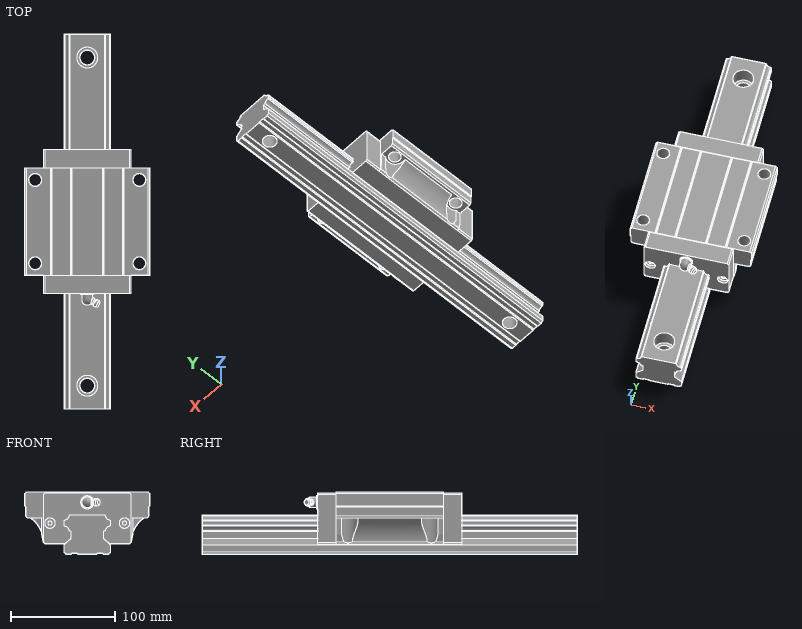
import cadquery as cq
import math


rail_length = 360.0
rail_width = 45.0
rail_height = 38.0
rail_half = rail_width / 2
rail_top_half = 16.7
rail_shoulder_top = 32.0
rail_shoulder_bottom = 28.0
rail_waist_half = 15.5
rail_waist_top = 22.0
rail_waist_bottom = 15.4
rail_foot_top = 9.2
rail_foot_chamfer = 2.2
relief_inner = 9.0
relief_outer = 15.5
relief_depth = 0.9
groove_inner_half = 17.5
groove_edge = 1.0
groove_sag = 1.0

rail_bolt_span = 315.0
rail_bolt_diameter = 14.0
rail_bolt_head_diameter = 20.0
rail_bolt_head_depth = 17.0

block_length = 103.0
block_width = 120.0
block_top = 60.0
block_half = block_width / 2
skirt_bottom = 10.0
flange_bottom = 34.8
flange_edge_chamfer = 1.8
flange_step_height = 46.5
flange_step = 0.8
skirt_foot_half = 42.4
skirt_foot_height = 12.0
skirt_foot_chamfer = 2.0
end_pad_half = 43.8
end_pad_taper_height = 19.0

mount_spacing_x = 100.0
mount_spacing_y = 80.0
mount_diameter = 12.0

web_outer_half = 54.5
pocket_radius = 9.5
pocket_centre_x = 51.0

top_groove_places = (15.2, 34.7)
top_groove_width = 1.6
top_groove_depth = 0.8

carriage_length = 138.5
cap_width = 84.0
cap_top = 59.0
cap_edge_chamfer = 1.5
cap_thickness = (carriage_length - block_length) / 2
screw_spacing = 71.6
screw_height = 30.0
screw_head_diameter = 10.0
screw_head_depth = 3.0
screw_bore_diameter = 4.0
screw_bore_depth = 10.0

nipple_height = 50.0
nipple_collar_radius = 6.3
nipple_collar_length = 0.9
nipple_body_radius = 5.2
nipple_body_length = 5.8
nozzle_start = 4.2
nozzle_angle = 30.0
nozzle_length = 12.9
nozzle_shank_radius = 3.1
nozzle_neck_radius = 2.5
nozzle_head_radius = 3.5
nozzle_tip_radius = 2.6
nozzle_shank_length = 6.8
nozzle_neck_end = 8.3
nozzle_head_end = 11.2


def extrude_along_y(outline, length):
    """Extrude an XZ outline by the given length, centred on Y = 0."""
    return outline.extrude(length / 2, both=True)


def sagged_middle(start, end, sag):
    """Middle point of an arc that dips by sag to the right of start-to-end."""
    run = end[0] - start[0]
    rise = end[1] - start[1]
    chord = math.hypot(run, rise)
    return (
        (start[0] + end[0]) / 2 + sag * rise / chord,
        (start[1] + end[1]) / 2 - sag * run / chord,
    )


def rail_blank(with_reliefs):
    """Rail without its holes, drawn as the right half and mirrored."""
    groove_outer_half = rail_half - groove_edge
    upper_start = (groove_inner_half, rail_height - groove_edge)
    upper_end = (groove_outer_half, rail_shoulder_top + groove_edge)
    lower_start = (groove_outer_half, rail_shoulder_bottom - groove_edge)
    lower_end = (groove_inner_half, rail_waist_top + groove_edge)
    half = (
        cq.Workplane("XZ")
        .moveTo(0, rail_height)
        .lineTo(rail_top_half, rail_height)
        .lineTo(*upper_start)
        .threePointArc(sagged_middle(upper_start, upper_end, groove_sag), upper_end)
        .lineTo(rail_half, rail_shoulder_top)
        .lineTo(rail_half, rail_shoulder_bottom)
        .lineTo(*lower_start)
        .threePointArc(sagged_middle(lower_start, lower_end, groove_sag), lower_end)
        .lineTo(rail_waist_half, rail_waist_top)
        .lineTo(rail_waist_half, rail_waist_bottom)
        .lineTo(rail_half, rail_foot_top)
        .lineTo(rail_half, rail_foot_chamfer)
        .lineTo(rail_half - rail_foot_chamfer, 0)
    )
    if with_reliefs:
        half = (
            half.lineTo(relief_outer, 0)
            .lineTo(relief_outer - relief_depth, relief_depth)
            .lineTo(relief_inner + relief_depth, relief_depth)
            .lineTo(relief_inner, 0)
        )
    outline = half.lineTo(0, 0).mirrorY()
    return extrude_along_y(outline, rail_length)


def make_rail():
    bolts = [(0, -rail_bolt_span / 2), (0, rail_bolt_span / 2)]
    return (
        rail_blank(with_reliefs=True)
        .copyWorkplane(cq.Workplane("XY", origin=(0, 0, rail_height)))
        .pushPoints(bolts)
        .cboreHole(rail_bolt_diameter, rail_bolt_head_diameter, rail_bolt_head_depth)
    )


def block_core():
    """Flanged block with an upright skirt, drawn as the right half and mirrored."""
    stepped_half = block_half - flange_step
    outline = (
        cq.Workplane("XZ")
        .moveTo(0, block_top)
        .lineTo(block_half - flange_edge_chamfer, block_top)
        .lineTo(block_half, block_top - flange_edge_chamfer)
        .lineTo(block_half, flange_step_height)
        .lineTo(stepped_half, flange_step_height - flange_step)
        .lineTo(stepped_half, flange_bottom + flange_edge_chamfer)
        .lineTo(stepped_half - flange_edge_chamfer, flange_bottom)
        .lineTo(skirt_foot_half, flange_bottom)
        .lineTo(skirt_foot_half, skirt_foot_height)
        .lineTo(skirt_foot_half - skirt_foot_chamfer, skirt_bottom)
        .lineTo(0, skirt_bottom)
        .mirrorY()
    )
    return extrude_along_y(outline, block_length)


def web():
    """Web under both flanges, an arc that runs upright into the foot of the skirt."""
    spread = web_outer_half - skirt_foot_half
    height = flange_bottom - skirt_foot_height
    radius = (spread**2 + height**2) / (2 * spread)
    outline = (
        cq.Workplane("XZ")
        .moveTo(0, flange_bottom)
        .lineTo(web_outer_half, flange_bottom)
        .radiusArc((skirt_foot_half, skirt_foot_height), -radius)
        .lineTo(0, skirt_foot_height)
        .mirrorY()
    )
    return extrude_along_y(outline, mount_spacing_y)


def end_pad(end):
    """Slightly thicker skirt between a bolt row and the end of the block."""
    outline = (
        cq.Workplane("XZ", origin=(0, end * (block_length + mount_spacing_y) / 4, 0))
        .moveTo(0, flange_bottom)
        .lineTo(end_pad_half, flange_bottom)
        .lineTo(end_pad_half, end_pad_taper_height)
        .lineTo(skirt_foot_half, skirt_foot_height)
        .lineTo(0, skirt_foot_height)
        .mirrorY()
    )
    return extrude_along_y(outline, (block_length - mount_spacing_y) / 2)


def bolt_pocket(side, end):
    """Round-ended pocket below the flange, open to the side of the block."""
    depth = flange_bottom - skirt_bottom
    reach = block_half - pocket_centre_x
    base = cq.Workplane("XY", origin=(side * pocket_centre_x, end * mount_spacing_y / 2, skirt_bottom))
    round_end = base.circle(pocket_radius).extrude(depth)
    open_end = base.center(side * reach / 2, 0).rect(reach, 2 * pocket_radius).extrude(depth)
    return round_end.union(open_end)


def top_groove(place):
    """V groove along the whole top face, centred at X = place."""
    outline = (
        cq.Workplane("XZ")
        .moveTo(place - top_groove_width / 2, block_top)
        .lineTo(place, block_top - top_groove_depth)
        .lineTo(place + top_groove_width / 2, block_top)
        .close()
    )
    return extrude_along_y(outline, block_length)


def end_caps():
    """Front and rear caps, chamfered along their edges parallel to Y."""
    height = cap_top - skirt_bottom
    return [
        cq.Workplane("XY", origin=(0, end * (block_length + cap_thickness) / 2, skirt_bottom + height / 2))
        .box(cap_width, cap_thickness, height)
        .edges("|Y")
        .chamfer(cap_edge_chamfer)
        for end in (-1, 1)
    ]


def cap_screw_holes():
    """Counterbored screw holes in the front cap."""
    places = [(-screw_spacing / 2, screw_height), (screw_spacing / 2, screw_height)]
    face = cq.Workplane("XZ", origin=(0, -carriage_length / 2, 0)).pushPoints(places)
    heads = face.circle(screw_head_diameter / 2).extrude(-screw_head_depth)
    bores = face.circle(screw_bore_diameter / 2).extrude(-screw_bore_depth)
    return heads.union(bores)


def make_carriage():
    block = block_core().union(web()).union(end_pad(-1)).union(end_pad(1))
    for side in (-1, 1):
        for end in (-1, 1):
            block = block.cut(bolt_pocket(side, end))
        for place in top_groove_places:
            block = block.cut(top_groove(side * place))
    mounts = (
        cq.Workplane("XY", origin=(0, 0, block_top))
        .rect(mount_spacing_x, mount_spacing_y, forConstruction=True)
        .vertices()
        .circle(mount_diameter / 2)
        .extrude(skirt_bottom - block_top)
    )
    caps = end_caps()
    return (
        block.cut(mounts)
        .union(caps[0])
        .union(caps[1])
        .cut(cap_screw_holes())
        .cut(rail_blank(with_reliefs=False))
    )


def nipple_body():
    """Collar, cylinder and dome, turned about an axis leaving the front cap along -Y."""
    outline = (
        cq.Workplane("XY")
        .lineTo(nipple_collar_radius, 0)
        .lineTo(nipple_collar_radius, nipple_collar_length)
        .lineTo(nipple_body_radius, nipple_collar_length)
        .lineTo(nipple_body_radius, nipple_body_length)
        .radiusArc((0, nipple_body_length + nipple_body_radius), -nipple_body_radius)
        .close()
    )
    return outline.revolve(360, (0, 0, 0), (0, 1, 0))


def nipple_nozzle():
    """Angled nozzle with a neck behind its tapered head, turned about +Y from the origin."""
    outline = (
        cq.Workplane("XY")
        .lineTo(nozzle_shank_radius, 0)
        .lineTo(nozzle_shank_radius, nozzle_shank_length)
        .lineTo(nozzle_neck_radius, nozzle_shank_length)
        .lineTo(nozzle_neck_radius, nozzle_neck_end)
        .lineTo(nozzle_head_radius, nozzle_neck_end)
        .lineTo(nozzle_head_radius, nozzle_head_end)
        .lineTo(nozzle_tip_radius, nozzle_length)
        .lineTo(0, nozzle_length)
        .close()
    )
    return outline.revolve(360, (0, 0, 0), (0, 1, 0))


def make_nipple():
    """Elbow built along +Y, then turned half round about Z so that it points along -Y."""
    nozzle = (
        nipple_nozzle()
        .rotate((0, 0, 0), (0, 0, 1), 90 - nozzle_angle)
        .translate((0, nozzle_start, 0))
    )
    return (
        nipple_body()
        .union(nozzle)
        .rotate((0, 0, 0), (0, 0, 1), 180)
        .translate((0, -carriage_length / 2, nipple_height))
    )


rail = make_rail()
carriage = make_carriage()
nipple = make_nipple()

result = cq.Compound.makeCompound([rail.val(), carriage.val(), nipple.val()])